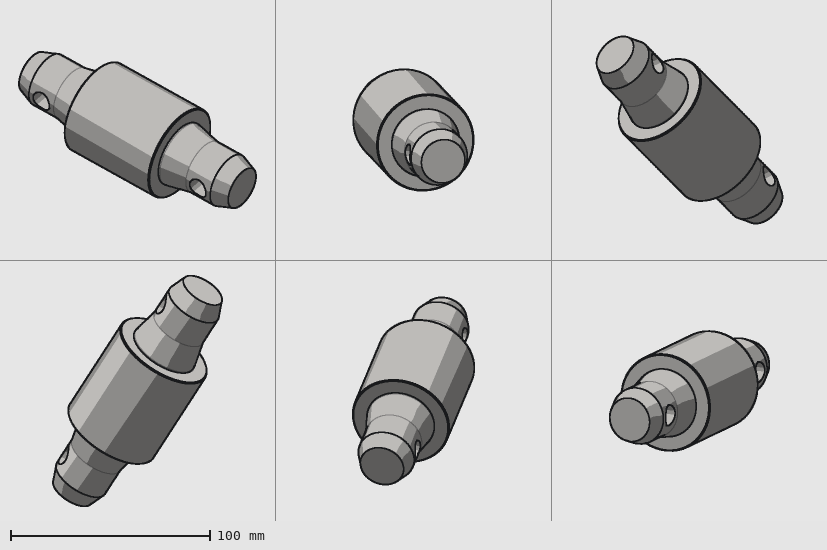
import cadquery as cq

total_length = 135.0
half_length = total_length / 2

body_length = 54.8
body_radius = 25.0
body_chamfer = 0.5
body_face = body_length / 2

collar_length = 0.8
collar_radius = 17.4
neck_start = body_face + collar_length
neck_length = 14.5
neck_end = neck_start + neck_length

pin_radius = 14.5
tip_length = 9.0
tip_radius = 11.2
tip_start = half_length - tip_length

hole_diameter = 10.5
hole_offset = 50.5


def make_shaft():
    """Revolve the full stepped outline about the X axis."""
    half_outline = [
        (body_face - body_chamfer, body_radius),
        (body_face, body_radius - body_chamfer),
        (body_face, collar_radius),
        (neck_start, collar_radius),
        (neck_end, pin_radius),
        (tip_start, pin_radius),
        (half_length, tip_radius),
        (half_length, 0),
    ]
    right_side = [(x, -radius) for x, radius in half_outline]
    left_side = [(-x, y) for x, y in reversed(right_side)]
    outline = cq.Workplane("XY").polyline(left_side + right_side).close()
    return outline.revolve(360, (0, 0, 0), (1, 0, 0))


def make_cross_holes():
    """Cylinders along Y that pass right through both pins."""
    return (
        cq.Workplane("XZ")
        .pushPoints([(-hole_offset, 0), (hole_offset, 0)])
        .circle(hole_diameter / 2)
        .extrude(body_radius, both=True)
    )


result = make_shaft().cut(make_cross_holes())